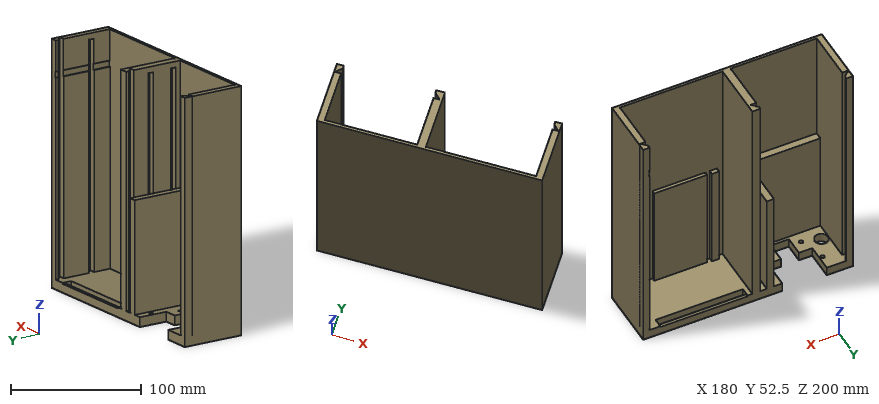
import cadquery as cq

WIDTH = 180.0
DEPTH = 52.5
HEIGHT = 200.0
PANEL = 2.5
SIDE_WALL = 5.5
FLOOR = 8.0

DIVIDER_LEFT = 79.5
DIVIDER_RIGHT = 86.5
RIGHT_WALL_FACE = WIDTH - SIDE_WALL

GROOVE_DEPTH = 4.8
LID_GROOVE_Y = 45.2
DIVIDER_GROOVE_STARTS = (6.5, 27.2)
GROOVE_TOP = HEIGHT - 5.0
RIGHT_GROOVE_Y = 17.2

CATCH_LEFT = 90.5
CATCH_RIGHT = 165.2
CATCH_FRONT = 44.5
CATCH_BEVEL = 5.5
CATCH_RECESS = 0.8

PAD_TOP = 170.0
PAD_THICKNESS = 0.5
PAD_FACE = RIGHT_WALL_FACE - PAD_THICKNESS
SLOT_HEIGHT = 4.8
SLOT_DEPTH = 0.5

OPENING_X = 41.5
WIDE_OPENING = 38.2
WIDE_OPENING_FRONT = 28.0
NARROW_OPENING = 15.5
NARROW_OPENING_FRONT = 11.0
SCREW_DIAMETER = 3.2
SCREW_ROWS = ((40.0, 43.5), (17.8, 29.5))
CABLE_DIAMETER = 11.2
CABLE_HOLE = (11.5, 22.0)

INNER_HEIGHT = 100.0

PARTITION_LEFT = 67.8
PARTITION_RIGHT = 74.0

PANEL_BLOCKS = ((SIDE_WALL, 59.2, 8.5), (91.2, 97.5, 6.2), (101.2, 146.5, 5.5))


def block(x0, x1, y0, y1, z0, z1):
    """Box between two opposite corners."""
    return cq.Workplane("XY").box(x1 - x0, y1 - y0, z1 - z0, centered=False).translate((x0, y0, z0))


def dovetail_groove(face_x, direction, front_y, top_z):
    """Groove cut into a wall face: flat front side, 45 degree back side, from the floor to top_z."""
    tip = (face_x + direction * GROOVE_DEPTH, front_y)
    outline = [(face_x, front_y), tip, (face_x, front_y + GROOVE_DEPTH)]
    return cq.Workplane("XY").workplane(offset=FLOOR).polyline(outline).close().extrude(top_z - FLOOR)


def shell():
    body = block(0, WIDTH, 0, PANEL, 0, HEIGHT)
    body = body.union(block(0, WIDTH, 0, DEPTH, 0, FLOOR))
    for left, right in ((0, SIDE_WALL), (DIVIDER_LEFT, DIVIDER_RIGHT), (RIGHT_WALL_FACE, WIDTH)):
        body = body.union(block(left, right, 0, DEPTH, 0, HEIGHT))
    return body


def inner_blocks():
    blocks = block(PARTITION_LEFT, PARTITION_RIGHT, 0, DEPTH, 0, INNER_HEIGHT)
    for left, right, back in PANEL_BLOCKS:
        blocks = blocks.union(block(left, right, 0, back, 0, INNER_HEIGHT))
    return blocks.union(block(PAD_FACE, RIGHT_WALL_FACE, 0, LID_GROOVE_Y, 0, PAD_TOP))


def wall_grooves():
    grooves = dovetail_groove(SIDE_WALL, -1, LID_GROOVE_Y, HEIGHT)
    grooves = grooves.union(dovetail_groove(DIVIDER_LEFT, 1, LID_GROOVE_Y, HEIGHT))
    grooves = grooves.union(dovetail_groove(RIGHT_WALL_FACE, 1, LID_GROOVE_Y, HEIGHT))
    grooves = grooves.union(dovetail_groove(RIGHT_WALL_FACE, 1, RIGHT_GROOVE_Y, GROOVE_TOP))
    groove_back = RIGHT_GROOVE_Y + GROOVE_DEPTH
    grooves = grooves.union(block(PAD_FACE, RIGHT_WALL_FACE, RIGHT_GROOVE_Y, groove_back, FLOOR, PAD_TOP))
    for front_y in DIVIDER_GROOVE_STARTS:
        grooves = grooves.union(dovetail_groove(DIVIDER_LEFT, 1, front_y, GROOVE_TOP))
    return grooves


def wall_slot():
    slot_top = PAD_TOP + SLOT_HEIGHT
    return block(RIGHT_WALL_FACE, RIGHT_WALL_FACE + SLOT_DEPTH, PANEL, DEPTH, PAD_TOP, slot_top)


def floor_catch():
    """Recess open at the back edge, deepening at 45 degrees towards its front side."""
    ledge = FLOOR - CATCH_RECESS
    outline = [
        (DEPTH, FLOOR),
        (DEPTH, ledge),
        (CATCH_FRONT + CATCH_BEVEL, ledge),
        (CATCH_FRONT, ledge - CATCH_BEVEL),
        (CATCH_FRONT, FLOOR),
    ]
    profile = cq.Workplane("YZ").workplane(offset=CATCH_LEFT).polyline(outline).close()
    return profile.extrude(CATCH_RIGHT - CATCH_LEFT)


def floor_openings():
    cuts = cq.Workplane("XY").pushPoints([CABLE_HOLE]).circle(CABLE_DIAMETER / 2).extrude(FLOOR)
    for width, front_y in ((WIDE_OPENING, WIDE_OPENING_FRONT), (NARROW_OPENING, NARROW_OPENING_FRONT)):
        cuts = cuts.union(block(OPENING_X - width / 2, OPENING_X + width / 2, front_y, DEPTH, 0, FLOOR))
    for row_y, spacing in SCREW_ROWS:
        centres = [(OPENING_X - spacing / 2, row_y), (OPENING_X + spacing / 2, row_y)]
        cuts = cuts.union(cq.Workplane("XY").pushPoints(centres).circle(SCREW_DIAMETER / 2).extrude(FLOOR))
    return cuts


result = shell().union(inner_blocks())
for cut in (wall_grooves(), wall_slot(), floor_catch(), floor_openings()):
    result = result.cut(cut)